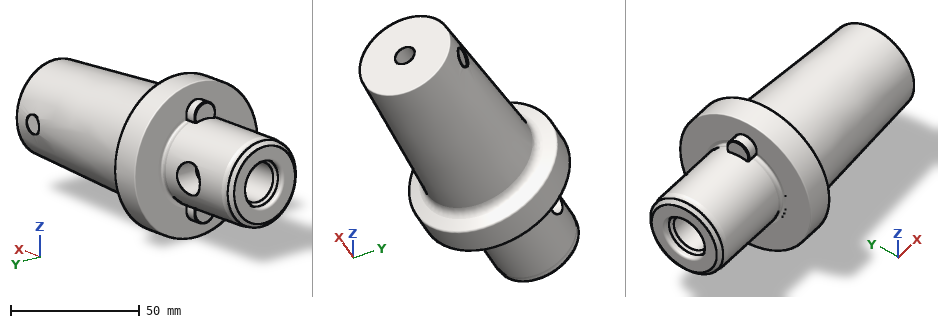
import cadquery as cq
import math

shank_length = 40.0
nose_length = 84.0

shank_radius = 18.1
relief_radius = 17.7
end_chamfer_length = 1.65
end_chamfer_height = 1.9
front_relief_length = 3.3
rear_relief_length = 1.2
relief_taper_length = 1.3
relief_blend = 1.5

undercut_radius = 19.7
undercut_depth = 0.3
undercut_blend = 0.6

flange_radius = 32.0
flange_thickness = 12.0
flange_seat_fillet = 0.5
flange_rim_fillet = 0.9
flange_back_lean = math.radians(16)

nose_root_radius = 24.0
nose_tip_radius = 19.6
nose_tip_fillet = 0.5
neck_fillet = 3.9

through_bore_radius = 4.2
bore_radius = 8.2
bore_depth = shank_length
bore_tip_half_angle = math.radians(59)
bore_mouth_radius = 9.5
bore_mouth_depth = 2.9
bore_mouth_fillet = 1.1

shank_hole_radius = 6.7
shank_hole_x = -15.7
screw_hole_x = 73.5

screw_radius = 4.0
screw_bottom = 8.0
screw_top = 19.7

pin_radius = 5.35
pin_offset = 19.6
pin_protrusion = 5.0
pin_seat_depth = 5.0
pin_chamfer = 0.3


def revolve_about_x(profile):
    return profile.close().revolve(360, (0, 0, 0), (1, 0, 0))


def round_circle(form, x, radius, size):
    """Fillet the circular edge of the given radius that lies in the plane at x."""
    reach = 0.01
    edge = form.edges(
        cq.selectors.BoxSelector(
            (x - reach, -radius - reach, -radius - reach),
            (x + reach, radius + reach, radius + reach),
            boundingbox=True,
        )
    )
    return edge.fillet(size)


def make_outer_form():
    """Shank, flange and nose as one turned form, with its edges rounded."""
    end_x = -shank_length
    front_relief_x = end_x + front_relief_length
    rear_relief_x = -rear_relief_length
    neck_x = flange_thickness + (flange_radius - nose_root_radius) * math.tan(flange_back_lean)
    form = revolve_about_x(
        cq.Workplane("XY")
        .moveTo(end_x, 0)
        .lineTo(end_x, relief_radius - end_chamfer_height)
        .lineTo(end_x + end_chamfer_length, relief_radius)
        .lineTo(front_relief_x, relief_radius)
        .lineTo(front_relief_x + relief_taper_length, shank_radius)
        .lineTo(rear_relief_x - relief_taper_length, shank_radius)
        .lineTo(rear_relief_x, relief_radius)
        .lineTo(undercut_depth, relief_radius)
        .lineTo(0, undercut_radius)
        .lineTo(0, flange_radius)
        .lineTo(flange_thickness, flange_radius)
        .lineTo(neck_x, nose_root_radius)
        .lineTo(nose_length, nose_tip_radius)
        .lineTo(nose_length, 0)
    )
    rounded_edges = [
        (front_relief_x, relief_radius, relief_blend),
        (rear_relief_x, relief_radius, relief_blend),
        (undercut_depth, relief_radius, undercut_blend),
        (0, flange_radius, flange_seat_fillet),
        (flange_thickness, flange_radius, flange_rim_fillet),
        (neck_x, nose_root_radius, neck_fillet),
        (nose_length, nose_tip_radius, nose_tip_fillet),
    ]
    for x, radius, size in rounded_edges:
        form = round_circle(form, x, radius, size)
    return form


def make_bore():
    """The stepped bore: rounded mouth, shoulder, main bore, conical bottom, through hole."""
    entry_x = -shank_length
    shoulder_x = entry_x + bore_mouth_depth
    shoulder_step = bore_mouth_radius - bore_radius
    floor_x = entry_x + bore_depth
    tip_length = (bore_radius - through_bore_radius) / math.tan(bore_tip_half_angle)
    return revolve_about_x(
        cq.Workplane("XY")
        .moveTo(entry_x, 0)
        .lineTo(entry_x, bore_mouth_radius + bore_mouth_fillet)
        .radiusArc((entry_x + bore_mouth_fillet, bore_mouth_radius), -bore_mouth_fillet)
        .lineTo(shoulder_x, bore_mouth_radius)
        .lineTo(shoulder_x + shoulder_step, bore_radius)
        .lineTo(floor_x, bore_radius)
        .lineTo(floor_x + tip_length, through_bore_radius)
        .lineTo(nose_length, through_bore_radius)
        .lineTo(nose_length, 0)
    )


def make_radial_cylinder(x, radius, inner_end, outer_end):
    """A cylinder along +Y whose ends lie at the given distances from the axis."""
    base = cq.Workplane("XZ", origin=(x, inner_end, 0))
    return base.circle(radius).extrude(inner_end - outer_end)


def make_pin(side):
    """A round drive pin on the +Z or -Z side, hollowed to sit around the shank."""
    length = pin_protrusion + pin_seat_depth
    pin = (
        cq.Workplane("YZ", origin=(-pin_protrusion, 0, side * pin_offset))
        .circle(pin_radius)
        .extrude(length)
        .faces("<X")
        .chamfer(pin_chamfer)
    )
    shank_space = cq.Workplane("YZ", origin=(-pin_protrusion, 0, 0)).circle(shank_radius)
    return pin.cut(shank_space.extrude(length))


def make_adapter(pins):
    """The main body, with its bore, its radial holes and the seats of the pins."""
    adapter = make_outer_form()
    adapter = adapter.cut(make_bore())
    adapter = adapter.cut(make_radial_cylinder(shank_hole_x, shank_hole_radius, 0, flange_radius))
    adapter = adapter.cut(make_radial_cylinder(screw_hole_x, screw_radius, 0, flange_radius))
    for pin in pins:
        adapter = adapter.cut(pin)
    return adapter


drive_pins = [make_pin(side) for side in (1, -1)]
clamp_screw = make_radial_cylinder(screw_hole_x, screw_radius, screw_bottom, screw_top)
adapter = make_adapter(drive_pins)

result = cq.Compound.makeCompound([adapter.val(), clamp_screw.val(), *[pin.val() for pin in drive_pins]])